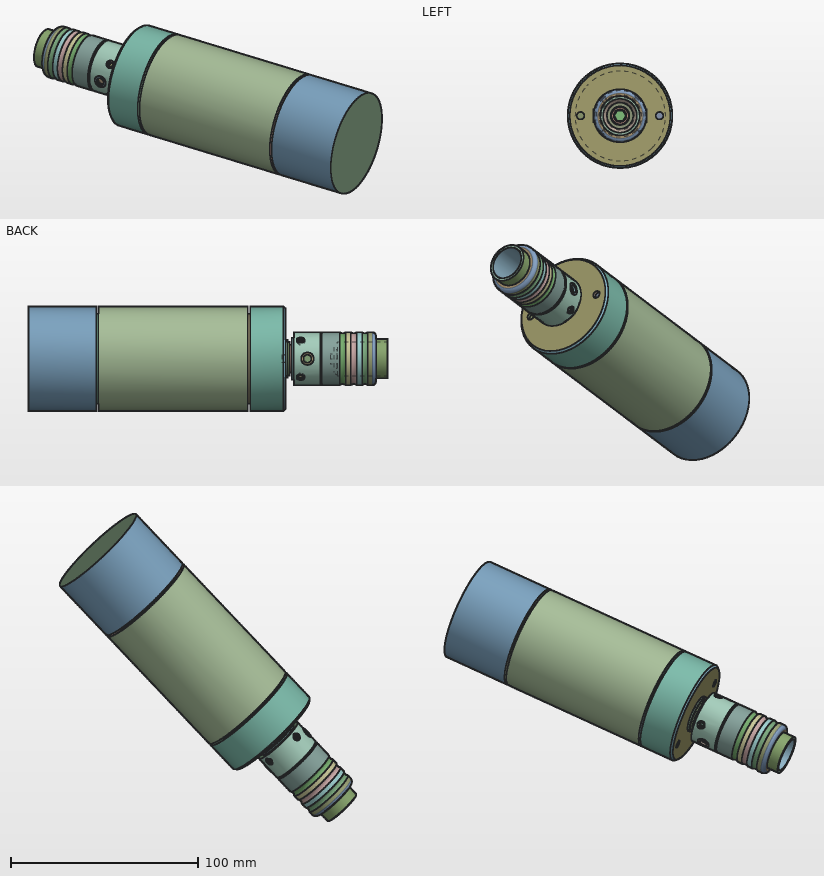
import cadquery as cq
import math

length = 191.7
left_end = -length / 2

housing_start = 54.5
housing_diameter = 56.0
housing_chamfer = 1.2
ring_groove_diameter = 48.1
ring_groove_width = 1.2
ring_groove_starts = (73.5, 154.3)

pin_hole_diameter = 4.0
pin_hole_depth = 2.0
pin_hole_offset = 21.0

neck_diameter = 15.0
step_start = 52.1
step_diameter = 18.0
shoulder_start = 53.3
shoulder_diameter = 20.3

spout_diameter = 21.0
sleeve_start = 6.1
sleeve_end = 50.0
sleeve_diameter = 28.4
sleeve_fillet = 2.1
lip_diameter = 22.6
lip_end = 51.2

finger_groove_start = 10.5
finger_groove_pitch = 6.0
finger_groove_count = 3
finger_groove_width = 3.0
finger_groove_depth = 0.5

joint_start = 35.0
joint_width = 0.8
joint_diameter = 27.2

plug_angles = (0, 180)
plug_position = 42.7
plug_diameter = 6.7
plug_hole_diameter = 4.2
plug_hole_depth = 1.5

screw_position = 46.4
screw_diameter = 4.2
screw_depth = 1.2
screw_socket_diameter = 2.3
screw_socket_depth = 2.7
screw_angles = (45, 135, 225, 315)

bore_diameter = 18.0
bore_depth = 26.8
cone_end_diameter = 14.0
cone_depth = 2.0

head_diameter = 10.0
head_height = 2.0
head_chamfer = 0.4
socket_entry_diameter = 6.7
socket_entry_depth = 0.4
socket_across_flats = 5.5
socket_depth = 3.8


def plane_at(distance):
    """YZ plane at a distance from the left end, facing +X."""
    return cq.Workplane("YZ", origin=(left_end + distance, 0, 0))


def cylinder(start, end, diameter):
    return plane_at(start).circle(diameter / 2).extrude(end - start)


def ring_groove(start, width, inner_diameter):
    """Ring to cut for a square groove, reaching past the outer surface."""
    return plane_at(start).circle(housing_diameter).circle(inner_diameter / 2).extrude(width)


def make_housing():
    housing = cylinder(housing_start, length, housing_diameter).faces("<X").chamfer(housing_chamfer)
    for start in ring_groove_starts:
        housing = housing.cut(ring_groove(start, ring_groove_width, ring_groove_diameter))
    pin_holes = (
        plane_at(housing_start)
        .pushPoints([(-pin_hole_offset, 0), (pin_hole_offset, 0)])
        .circle(pin_hole_diameter / 2)
        .extrude(pin_hole_depth)
    )
    return housing.cut(pin_holes)


def make_neck():
    neck = cylinder(lip_end, housing_start, neck_diameter)
    step = cylinder(step_start, housing_start, step_diameter)
    shoulder = cylinder(shoulder_start, housing_start, shoulder_diameter)
    return neck.union(step).union(shoulder)


def finger_groove(start):
    """Ring with an arc section that dips below the sleeve surface."""
    surface = sleeve_diameter / 2
    first = left_end + start
    return (
        cq.Workplane("XY")
        .moveTo(first, surface)
        .threePointArc(
            (first + finger_groove_width / 2, surface - finger_groove_depth),
            (first + finger_groove_width, surface),
        )
        .close()
        .revolve(360, (0, 0, 0), (1, 0, 0))
    )


def radial_cylinder(position, angle, diameter, depth, height):
    """Cylinder rising from below the sleeve surface, its angle turned about X from +Y towards +Z."""
    floor_radius = sleeve_diameter / 2 - depth
    upright = (
        cq.Workplane("XZ", origin=(left_end + position, floor_radius, 0))
        .circle(diameter / 2)
        .extrude(-height)
    )
    return upright.rotate((0, 0, 0), (1, 0, 0), angle)


def radial_hole(position, angle, diameter, depth):
    """Blind round hole into the sleeve, to cut; it reaches past the surface."""
    return radial_cylinder(position, angle, diameter, depth, sleeve_diameter)


def make_sleeve():
    sleeve = cylinder(sleeve_start, sleeve_end, sleeve_diameter).faces("<X").edges().fillet(sleeve_fillet)
    sleeve = sleeve.union(cylinder(0, sleeve_start, spout_diameter))
    sleeve = sleeve.union(cylinder(sleeve_end, lip_end, lip_diameter))
    for index in range(finger_groove_count):
        sleeve = sleeve.cut(finger_groove(finger_groove_start + index * finger_groove_pitch))
    sleeve = sleeve.cut(ring_groove(joint_start, joint_width, joint_diameter))
    for angle in plug_angles:
        sleeve = sleeve.union(
            radial_cylinder(plug_position, angle, plug_diameter, plug_hole_depth, plug_hole_depth)
        )
        sleeve = sleeve.cut(radial_hole(plug_position, angle, plug_hole_diameter, plug_hole_depth))
    for angle in screw_angles:
        sleeve = sleeve.cut(radial_hole(screw_position, angle, screw_diameter, screw_depth))
        sleeve = sleeve.cut(radial_hole(screw_position, angle, screw_socket_diameter, screw_socket_depth))
    return sleeve


def cone(start, end, start_diameter, end_diameter):
    return (
        plane_at(start)
        .circle(start_diameter / 2)
        .workplane(offset=end - start)
        .circle(end_diameter / 2)
        .loft()
    )


def make_bore():
    floor = bore_depth + cone_depth
    bore = cylinder(0, bore_depth, bore_diameter)
    return bore.union(cone(bore_depth, floor, bore_diameter, cone_end_diameter))


def make_screw_head():
    floor = bore_depth + cone_depth
    top = floor - head_height
    return cylinder(top, floor, head_diameter).faces("<X").chamfer(head_chamfer)


def make_socket():
    top = bore_depth + cone_depth - head_height
    across_corners = socket_across_flats / math.cos(math.pi / 6)
    hexagon = plane_at(top).polygon(6, across_corners).extrude(socket_depth)
    entry = cone(top, top + socket_entry_depth, socket_entry_diameter, socket_across_flats)
    return hexagon.union(entry)


result = (
    make_housing()
    .union(make_neck())
    .union(make_sleeve())
    .cut(make_bore())
    .union(make_screw_head())
    .cut(make_socket())
)